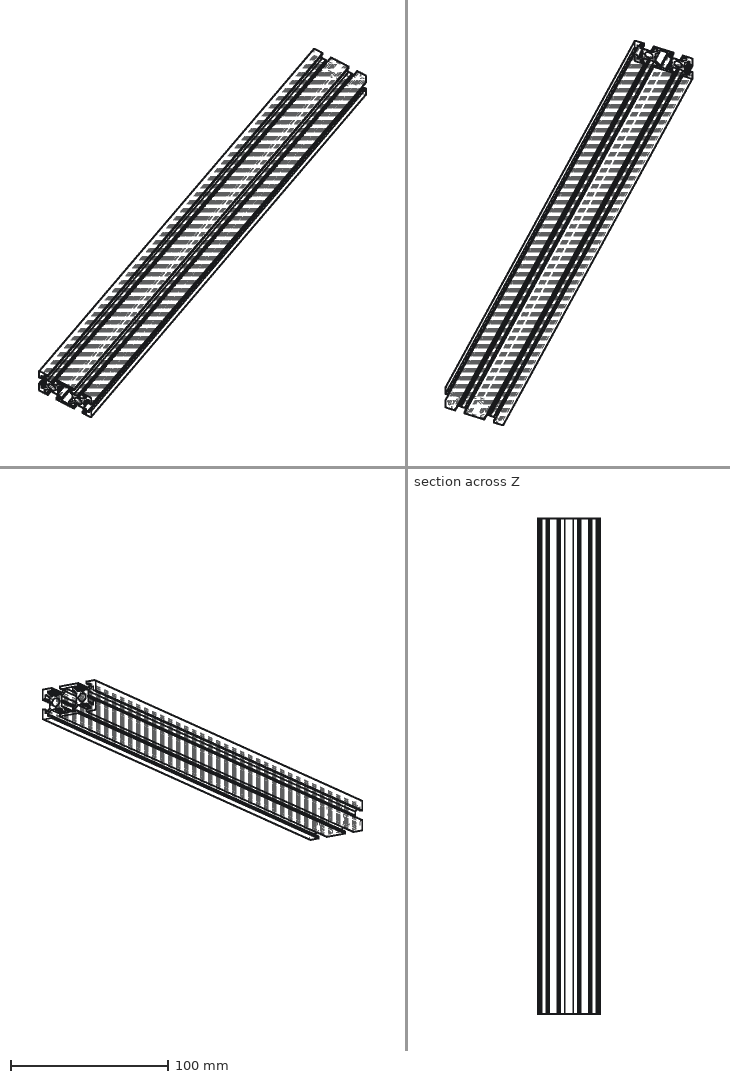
import cadquery as cq
import math

length = 315.0
width = 40.0
pitch = width / 2
height = pitch
corner_radius = 1.0

slot_opening = 6.3
lip_thickness = 2.0
lip_chamfer = 0.5
slot_inner_width = 12.0

core_side = 9.0
bore_diameter = 5.5
web_thickness = 1.73
groove_width = 1.5
groove_depth = 0.5

half_pitch = pitch / 2
core_half = core_side / 2
opening_half = slot_opening / 2
slot_half = slot_inner_width / 2
groove_half = groove_width / 2
lip_inside = half_pitch - lip_thickness
web_shift = web_thickness / math.sqrt(2)


def extrude_along_length(sketch):
    """Extrude an XZ sketch over the whole length, centred on Y."""
    return sketch.extrude(length / 2, both=True)


def prism(points):
    return extrude_along_length(cq.Workplane("XZ").polyline(points).close())


def slot_cutter():
    """T-slot opening upward, for a core centred on the origin."""
    right_side = [
        (opening_half, half_pitch),
        (opening_half, lip_inside + lip_chamfer),
        (opening_half + lip_chamfer, lip_inside),
        (slot_half, lip_inside),
        (slot_half, slot_half + web_shift),
        (core_half - web_shift, core_half),
        (groove_half, core_half),
    ]
    groove_root = [(0, core_half - groove_depth)]
    left_side = [(-x, z) for x, z in reversed(right_side)]
    return prism(right_side + groove_root + left_side)


def central_cavity():
    """Hollow between the two cores, bounded by their inner webs."""
    roof_half_width = half_pitch - slot_half - web_shift
    core_face = half_pitch - core_half
    upper_right = [
        (roof_half_width, lip_inside),
        (roof_half_width, slot_half),
        (core_face, core_half - web_shift),
        (core_face, groove_half),
    ]
    groove_root = [(core_face + groove_depth, 0)]
    lower_right = [(x, -z) for x, z in reversed(upper_right)]
    right_side = upper_right + groove_root + lower_right
    left_side = [(-x, z) for x, z in reversed(right_side)]
    return prism(right_side + left_side)


def core_bore():
    return extrude_along_length(cq.Workplane("XZ").circle(bore_diameter / 2))


result = cq.Workplane("XY").box(width, length, height).edges("|Y").fillet(corner_radius)
result = result.cut(central_cavity())

slot = slot_cutter()
bore = core_bore()
for side in (-1, 1):
    core_offset = (side * half_pitch, 0, 0)
    result = result.cut(bore.translate(core_offset))
    for angle in (0, 180, side * 90):
        turned_slot = slot.rotate((0, 0, 0), (0, 1, 0), angle)
        result = result.cut(turned_slot.translate(core_offset))